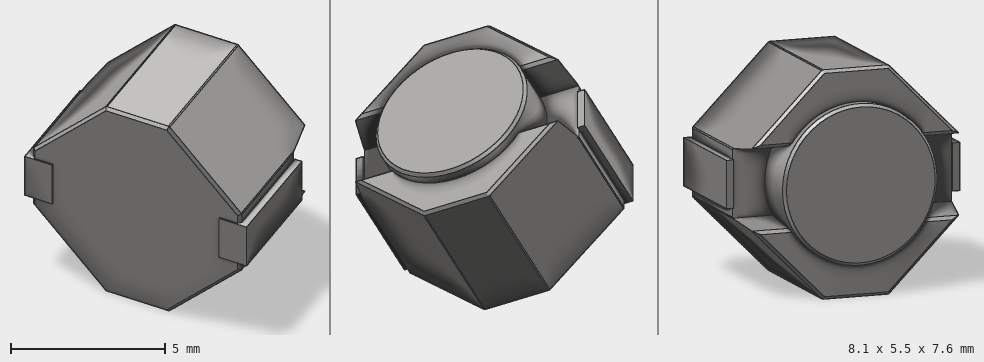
import cadquery as cq
import math

width = 7.6
flat_length = 2.3
body_front = 0.05
body_back = 5.1
end_chamfer = 0.1
corner_chamfer = 0.03

drum_diameter = 5.36
drum_back = 5.5
drum_chamfer = 0.1

slot_floor = 3.8
slot_taper = 10.0

terminal_span = 8.1
terminal_height = 1.6
terminal_length = 3.9
foot_length = 1.0

half_width = width / 2
half_flat = flat_length / 2
half_span = terminal_span / 2


def make_housing():
    """Slotted octagonal prism, chamfered along its long edges and around both ends."""
    corner_cut = half_width - half_flat
    return (
        cq.Workplane("XZ", origin=(0, body_front, 0))
        .rect(width, width)
        .extrude(body_front - body_back)
        .edges("|Y")
        .chamfer(corner_cut)
        .faces("<Y")
        .chamfer(end_chamfer)
        .edges("|Y")
        .chamfer(corner_chamfer)
        .cut(make_slots())
        .faces(">Y")
        .chamfer(end_chamfer)
    )


def make_slots():
    """Flared cutter through both sides, from the slot floor out of the back."""
    depth = drum_back - slot_floor
    half_mouth = half_flat + depth * math.tan(math.radians(slot_taper))
    return (
        cq.Workplane("YZ")
        .polyline([
            (slot_floor, -half_flat),
            (drum_back, -half_mouth),
            (drum_back, half_mouth),
            (slot_floor, half_flat),
        ])
        .close()
        .extrude(half_span, both=True)
    )


def make_drum():
    """Cylinder from the slot floor to the back, chamfered at its back rim."""
    return (
        cq.Workplane("XZ", origin=(0, slot_floor, 0))
        .circle(drum_diameter / 2)
        .extrude(slot_floor - drum_back)
        .faces(">Y")
        .chamfer(drum_chamfer)
    )


def make_terminal(side):
    """L-shaped terminal on the +X (side = 1) or -X (side = -1) flat."""
    outer = side * half_span
    inner = side * half_width
    foot_end = side * (half_span - foot_length)
    return (
        cq.Workplane("XY")
        .polyline([
            (outer, 0),
            (outer, terminal_length),
            (inner, terminal_length),
            (inner, body_front + end_chamfer),
            (foot_end, body_front + end_chamfer),
            (foot_end, 0),
        ])
        .close()
        .extrude(terminal_height / 2, both=True)
    )


result = make_housing().union(make_drum())
for side in (-1, 1):
    result = result.union(make_terminal(side))